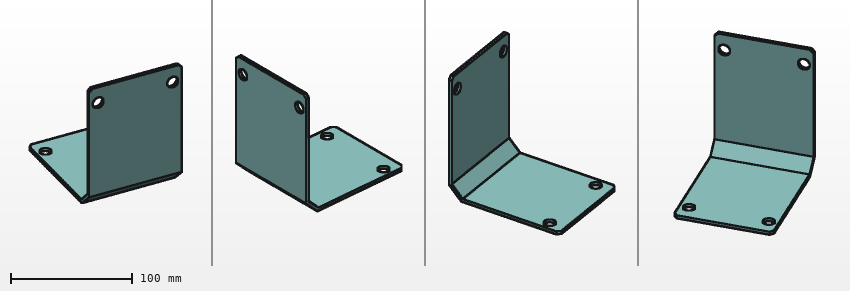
import cadquery as cq
import math

length = 108.6
width = 86.0
height = 116.6
thickness = 3.0

outer_bend = 12.5
inner_bend = outer_bend + thickness * math.tan(math.radians(22.5))

corner_chamfer = 3.0

hole_diameter = 10.0
hole_end_distance = 15.0
hole_spacing = 69.0


def bent_plate():
    """Angle profile in XZ, extruded symmetrically about Y = 0."""
    profile = [
        (0, 0),
        (length - outer_bend, 0),
        (length, outer_bend),
        (length, height),
        (length - thickness, height),
        (length - thickness, inner_bend),
        (length - inner_bend, thickness),
        (0, thickness),
    ]
    return cq.Workplane("XZ").polyline(profile).close().extrude(width / 2, both=True)


def chamfer_free_corners(plate):
    """Cut the outer corners at the free end of each leg."""
    plate = plate.faces("<X").edges("|Z").chamfer(corner_chamfer)
    return plate.faces(">Z").edges("|X").chamfer(corner_chamfer)


def cut_holes(plate):
    """Drill a pair of through holes near the free end of each leg."""
    hole_radius = hole_diameter / 2
    for y in (-hole_spacing / 2, hole_spacing / 2):
        base_center = cq.Vector(hole_end_distance, y, 0)
        wall_center = cq.Vector(length - thickness, y, height - hole_end_distance)
        base_hole = cq.Solid.makeCylinder(hole_radius, thickness, base_center, cq.Vector(0, 0, 1))
        wall_hole = cq.Solid.makeCylinder(hole_radius, thickness, wall_center, cq.Vector(1, 0, 0))
        plate = plate.cut(cq.Workplane(base_hole)).cut(cq.Workplane(wall_hole))
    return plate


result = cut_holes(chamfer_free_corners(bent_plate()))